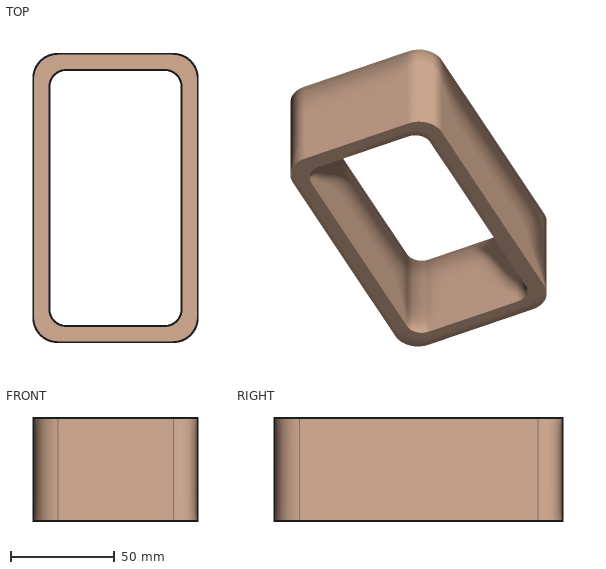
import cadquery as cq

width = 80.0
length = 140.0
height = 50.0
wall = 8.0
outer_radius = 12.0
inner_radius = 8.0


def rounded_block(size_x, size_y, corner_radius):
    """Full-height block with its four vertical edges rounded."""
    return (
        cq.Workplane("XY")
        .box(size_x, size_y, height)
        .edges("|Z")
        .fillet(corner_radius)
    )


outer_body = rounded_block(width, length, outer_radius)
opening = rounded_block(width - 2 * wall, length - 2 * wall, inner_radius)

result = outer_body.cut(opening)